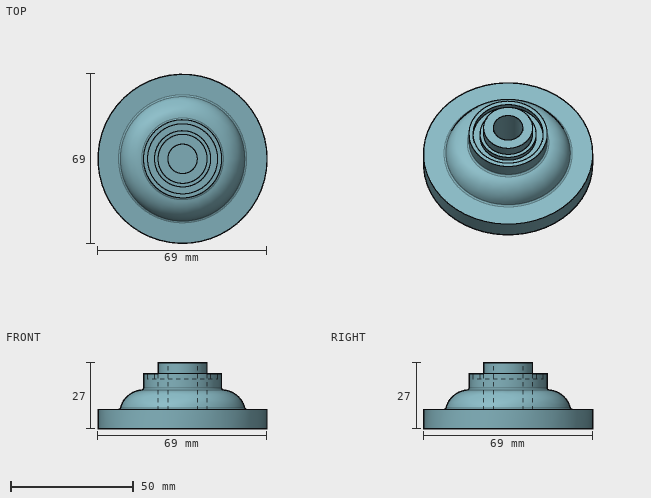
import cadquery as cq
import math

flange_radius = 34.5
flange_height = 8.0
total_height = 27.0

collar_radius = 15.95
collar_top = 22.5
dome_arc_radius = 9.7
dome_arc_center_z = 6.2
blend_radius = 0.75

groove_outer_radius = 14.3
groove_inner_radius = 11.45
groove_depth = 2.15

sleeve_radius = 10.0
sleeve_bore_radius = 6.0
seat_z = flange_height


def ring(outer_radius, inner_radius, bottom_z, height):
    """Plain ring about the Z axis."""
    return (
        cq.Workplane("XY", origin=(0, 0, bottom_z))
        .circle(outer_radius)
        .circle(inner_radius)
        .extrude(height)
    )


def make_hub_blank():
    """Flange, dome and collar as one turned profile, with both concave corners blended."""
    arc_sum = dome_arc_radius + blend_radius
    diagonal = math.sqrt(0.5)

    upper_blend_z = dome_arc_center_z + math.sqrt(arc_sum**2 - blend_radius**2)
    lower_blend_z = flange_height + blend_radius
    lower_blend_rise = lower_blend_z - dome_arc_center_z
    lower_blend_r = collar_radius + math.sqrt(arc_sum**2 - lower_blend_rise**2)

    share = dome_arc_radius / arc_sum
    dome_foot = (
        collar_radius + share * (lower_blend_r - collar_radius),
        dome_arc_center_z + share * lower_blend_rise,
    )
    dome_crest = (
        collar_radius + share * blend_radius,
        dome_arc_center_z + share * (upper_blend_z - dome_arc_center_z),
    )
    dome_middle = (
        collar_radius + dome_arc_radius * diagonal,
        dome_arc_center_z + dome_arc_radius * diagonal,
    )

    profile = (
        cq.Workplane("XZ")
        .polyline([(0, 0), (flange_radius, 0), (flange_radius, flange_height), (lower_blend_r, flange_height)])
        .radiusArc(dome_foot, blend_radius)
        .threePointArc(dome_middle, dome_crest)
        .radiusArc((collar_radius, upper_blend_z), blend_radius)
        .lineTo(collar_radius, collar_top)
        .lineTo(0, collar_top)
        .close()
    )
    return profile.revolve(360, (0, 0, 0), (0, 1, 0))


def make_housing():
    """Hub with its top groove and the blind hole for the sleeve."""
    groove = ring(groove_outer_radius, groove_inner_radius, collar_top - groove_depth, groove_depth)
    sleeve_hole = (
        cq.Workplane("XY", origin=(0, 0, seat_z))
        .circle(sleeve_radius)
        .extrude(collar_top - seat_z)
    )
    return make_hub_blank().cut(groove).cut(sleeve_hole)


def make_sleeve():
    """Plain sleeve standing on the floor of the blind hole."""
    return ring(sleeve_radius, sleeve_bore_radius, seat_z, total_height - seat_z)


housing = make_housing()
sleeve = make_sleeve()

result = cq.Compound.makeCompound([housing.val(), sleeve.val()])